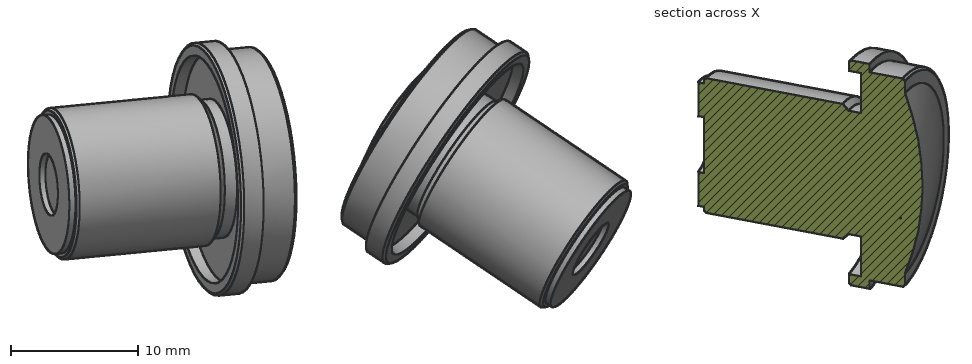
import cadquery as cq

flange_radius = 10.0
disc_radius = 9.25
dome_radius = 8.0
barrel_radius = 6.0
tip_radius = 5.5
neck_radius = 5.5
flange_recess_radius = 9.0
tip_recess_radius = 2.45

tip_length = 0.5
barrel_chamfer = 0.2
neck_cone_start = 12.3
flange_front = 12.8
flange_back = 14.6
disc_back = 17.6
dome_apex = 19.1

edge_chamfer = 0.2
flange_recess_depth = 1.0
tip_recess_depth = 0.5


def cylinder(radius, start, end):
    """Solid cylinder along Y between two distances from the tip face."""
    return cq.Workplane("XZ", origin=(0, start, 0)).circle(radius).extrude(start - end)


def make_barrel():
    """Stepped barrel with a chamfered front edge and a cone narrowing to the neck."""
    recess_floor = flange_front + flange_recess_depth
    cone_length = barrel_radius - neck_radius
    profile = (
        cq.Workplane("XY")
        .lineTo(tip_radius, 0)
        .lineTo(tip_radius, tip_length)
        .lineTo(barrel_radius - barrel_chamfer, tip_length)
        .lineTo(barrel_radius, tip_length + barrel_chamfer)
        .lineTo(barrel_radius, neck_cone_start)
        .lineTo(neck_radius, neck_cone_start + cone_length)
        .lineTo(neck_radius, recess_floor)
        .lineTo(0, recess_floor)
        .close()
    )
    barrel = profile.revolve(360, (0, 0), (0, 1))
    return barrel.cut(cylinder(tip_recess_radius, 0, tip_recess_depth))


def make_flange():
    """Flange with a chamfered front rim and a shallow recess around the neck."""
    flange = cylinder(flange_radius, flange_front, flange_back).faces("<Y").chamfer(edge_chamfer)
    recess = cylinder(flange_recess_radius, flange_front, flange_front + flange_recess_depth)
    return flange.cut(recess)


def make_disc():
    """Disc behind the flange with a chamfered back edge."""
    return cylinder(disc_radius, flange_back, disc_back).faces(">Y").chamfer(edge_chamfer)


def make_dome():
    """Spherical cap on the back of the disc."""
    cap_height = dome_apex - disc_back
    sphere_radius = (dome_radius**2 + cap_height**2) / (2 * cap_height)
    sphere = cq.Workplane("XY", origin=(0, dome_apex - sphere_radius, 0)).sphere(sphere_radius)
    return sphere.intersect(cylinder(dome_radius, disc_back, dome_apex))


result = make_barrel().union(make_flange()).union(make_disc()).union(make_dome())